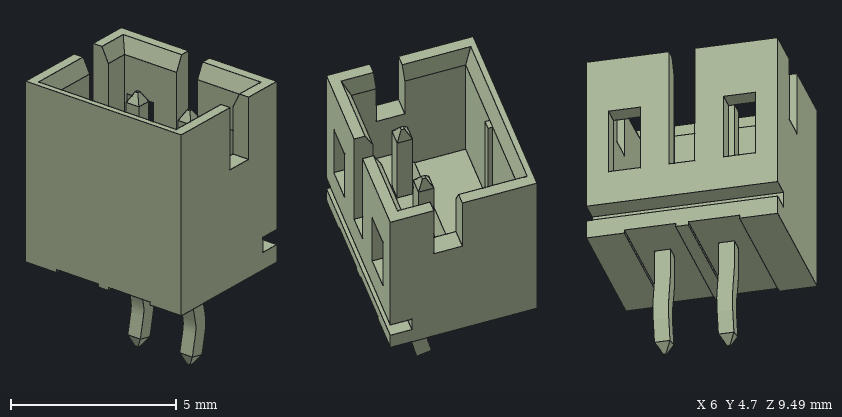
import cadquery as cq
import math

width = 6.0
depth = 4.7
total_height = 9.49
housing_height = 6.1

wall = 0.6
front_wall = 0.45
lead_in_run = 0.25
lead_in_drop = 0.5
shelf_height = 2.2
shelf_depth = 2.1
well_floor_height = 1.5
well_slope_run = 0.52
rib_width = 0.275
rib_depth = 0.15

side_notch_from_back = 1.395
side_notch_width = 0.91
side_notch_depth = 2.1
back_slot_width = 0.8
window_width = 1.0
window_offset = 1.8
window_height = 2.1

groove_bottom = 0.6
groove_height = 0.5
groove_depth = 0.69
foot_height = 0.1
outer_foot_width = 1.2
middle_foot_width = 0.4

pin_pitch = 2.0
pin_size = 0.49
pin_from_back = 1.75
pin_top_gap = 0.89
tip_length = 0.34
tip_size = 0.1
tail_drop = 0.67
bend_angle = math.radians(12)
bend_radius = 1.25
kink_length = 0.9

back = depth / 2
front = -depth / 2
pin_y = back - pin_from_back
cavity_back = back - wall
cavity_front = front + front_wall
cavity_width = width - 2 * wall
cavity_center = (cavity_back + cavity_front) / 2


def block(x_size, y_range, z_range, x_center=0):
    """Box given by its X size and center and its Y and Z limits."""
    y_size = y_range[1] - y_range[0]
    z_size = z_range[1] - z_range[0]
    box = cq.Workplane("XY").box(x_size, y_size, z_size, centered=(True, False, False))
    return box.translate((x_center, y_range[0], z_range[0]))


def make_cavity():
    """Space for the mating plug: a deep front well, a sloped step and a higher back shelf."""
    shelf_edge = back - shelf_depth
    profile = [
        (cavity_front, well_floor_height),
        (shelf_edge - well_slope_run, well_floor_height),
        (shelf_edge, shelf_height),
        (cavity_back, shelf_height),
        (cavity_back, housing_height),
        (cavity_front, housing_height),
    ]
    space = cq.Workplane("YZ").polyline(profile).close().extrude(cavity_width / 2, both=True)
    cavity_length = cavity_back - cavity_front
    lead_in = (
        cq.Workplane("XY", origin=(0, cavity_center, housing_height - lead_in_drop))
        .rect(cavity_width, cavity_length)
        .workplane(offset=lead_in_drop)
        .rect(cavity_width + 2 * lead_in_run, cavity_length + 2 * lead_in_run)
        .loft(ruled=True)
    )
    return space.union(lead_in)


def make_housing():
    housing = block(width, (front, back), (0, housing_height)).cut(make_cavity())

    rib_top = housing_height - lead_in_drop
    rib = block(rib_width, (cavity_front, cavity_front + rib_depth), (well_floor_height, rib_top))
    housing = housing.union(rib)

    notch_back = back - side_notch_from_back
    notch_bottom = housing_height - side_notch_depth
    notch_y = (notch_back - side_notch_width, notch_back)
    housing = housing.cut(block(width, notch_y, (notch_bottom, housing_height)))

    slot_z = (shelf_height, housing_height)
    housing = housing.cut(block(back_slot_width, (cavity_back, back), slot_z))
    window_z = (shelf_height, shelf_height + window_height)
    for side in (-1, 1):
        window = block(window_width, (cavity_back, back), window_z, side * window_offset)
        housing = housing.cut(window)

    groove_z = (groove_bottom, groove_bottom + groove_height)
    housing = housing.cut(block(width, (back - groove_depth, back), groove_z))

    relief_width = (width - middle_foot_width) / 2 - outer_foot_width
    relief_offset = (middle_foot_width + relief_width) / 2
    for side in (-1, 1):
        relief = block(relief_width, (front, back), (0, foot_height), side * relief_offset)
        housing = housing.cut(relief)
    return housing


def make_tip(y, z, direction):
    """Four-sided blunt point growing from (y, z) along a direction in the YZ plane."""
    base = cq.Plane(origin=(0, y, z), xDir=(1, 0, 0), normal=(0, *direction))
    return (
        cq.Workplane(base)
        .rect(pin_size, pin_size)
        .workplane(offset=tip_length)
        .rect(tip_size, tip_size)
        .loft(ruled=True)
    )


def make_pin():
    """Square pin whose tail kinks backward and returns, pointed at both ends."""
    sin_bend = math.sin(bend_angle)
    cos_bend = math.cos(bend_angle)
    shoulder = housing_height - pin_top_gap - tip_length

    tail_height = total_height - housing_height
    bends_height = 3 * bend_radius * sin_bend
    tip_corner_drop = tip_size / 2 * sin_bend
    used_height = tail_drop + bends_height + kink_length * cos_bend + tip_corner_drop
    end_length = (tail_height - used_height) / cos_bend - tip_length

    end_y = pin_y + bend_radius * (1 - cos_bend) + (kink_length - end_length) * sin_bend
    end_z = -tail_height + tip_length * cos_bend + tip_corner_drop

    path = (
        cq.Workplane("YZ", origin=(0, pin_y, shoulder))
        .lineTo(0, -shoulder - tail_drop)
        .tangentArcPoint((bend_radius * (1 - cos_bend), -bend_radius * sin_bend))
        .line(kink_length * sin_bend, -kink_length * cos_bend)
        .tangentArcPoint((0, -2 * bend_radius * sin_bend))
        .line(-end_length * sin_bend, -end_length * cos_bend)
    )
    shaft = (
        cq.Workplane("XY", origin=(0, pin_y, shoulder))
        .rect(pin_size, pin_size)
        .sweep(path)
    )
    top_tip = make_tip(pin_y, shoulder, (0, 1))
    bottom_tip = make_tip(end_y, end_z, (-sin_bend, -cos_bend))
    return shaft.union(top_tip).union(bottom_tip)


result = make_housing()
for side in (-1, 1):
    result = result.union(make_pin().translate((side * pin_pitch / 2, 0, 0)))